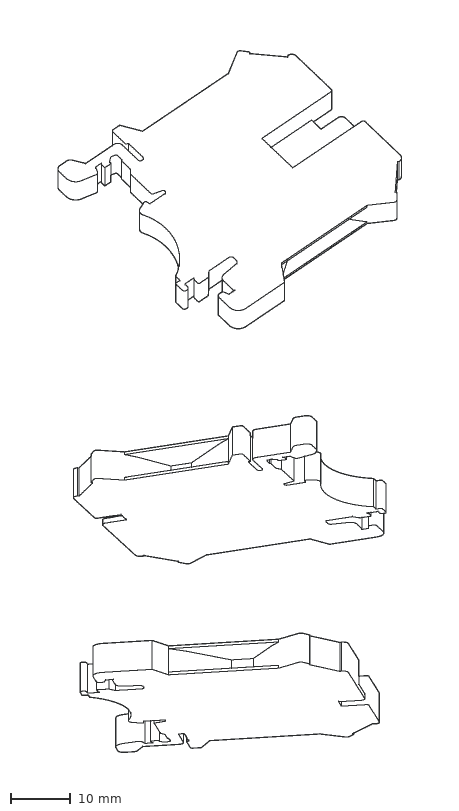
import cadquery as cq
import math

THICKNESS = 5.1
HEIGHT = 46.0
HALF_WIDTH = 21.4
BODY_HALF_WIDTH = 18.0
WAIST_TOP = 35.0
WAIST_BOTTOM = 16.3
SHOULDER_Y = 14.15

HEAD_HALF_WIDTH = 14.45
HEAD_RADIUS = 0.9
EAR_HALF_WIDTH = 20.65
EAR_Y = 39.3
EAR_RADIUS = 0.6
SEAT_TOP = (14.25, 44.75)
SEAT_BOTTOM = (18.85, 40.4)
SEAT_LIP = 0.25

RECESS_HALF_WIDTH = 4.0
RECESS_BOTTOM = 30.55
RECESS_FLOOR = 0.87
NOTCH_WIDTH = 2.45
NOTCH_BOTTOM = 41.4
NOTCH_RADIUS = 0.87
RECESS_EDGE_RADIUS = 0.35

ENTRY_WALL = 0.5
ENTRY_DEPTH = 6.65
ENTRY_STRAIGHT_DEPTH = 1.85
ENTRY_INNER_Y = (25.65, 29.4)
ENTRY_INNER_Z = (1.5, 4.2)

SHARP = 0
FINE_RADIUS = 0.2
SMALL_RADIUS = 0.3
ROUND_RADIUS = 0.5
WIDE_RADIUS = 1.0

RAIL_HALF_WIDTH = 17.3
RAIL_GROOVE_BOTTOM = 5.45
RAIL_GROOVE_TOP = 6.55
RELIEF = 0.25

HOOK_BOTTOM = 3.73
HOOK_TIP_X = 16.2
HOOK_TIP_DROP = 0.45
HOOK_RADIUS = 2.0

RIGHT_SLIT_X = 11.45
RIGHT_SLIT_WIDTH = 1.75
RIGHT_SLIT_TOP = 10.9
RIGHT_SLIT_FLARE = 0.5
LEFT_SLIT_X = -5.6
LEFT_SLIT_WIDTH = 0.7
LEFT_SLIT_TOP = 11.1
LEFT_SLIT_FLARE = 0.6

CATCH_X = 12.4
CATCH_BOTTOM = 2.95
CATCH_TOP = 5.05
CATCH_SLOPE = 0.9
TAIL_NECK_X = 10.95
TAIL_LEFT = 9.85
TAIL_RIGHT = 12.15
TAIL_TOP = 1.15

ARCH_RADIUS = 9.9
ARCH_TOP = 6.2
ARCH_START_X = -4.4
ARCH_END_X = 8.7
HORN_TIP = (-5.5, 4.55)
HORN_X = -6.45
HORN_TOP = 7.25
HORN_HEEL_RISE = 0.2
HORN_NOSE = 0.45

BODY_BOTTOM = 8.95
BODY_RAMP_X = (-12.45, -13.25)
LATCH_ROOF_Y = 9.8
LATCH_ROOF_STEP = 0.2
LATCH_ROOF_STEP_X = (-15.55, -15.65)
LATCH_POCKET_TOP_X = -17.0
LATCH_POCKET_SIDE = (-17.3, 8.75)
LATCH_TOOTH_X = -16.2
LATCH_TOOTH_TOP = 7.95
LATCH_TOOTH_FLAT = 0.45
LATCH_ARM_X = -18.95
LATCH_GAP_TOP = 12.85
LATCH_GAP_BOTTOM = 11.8
LATCH_GAP_END = -13.4
LATCH_GAP_END_RADIUS = 0.45
LATCH_GAP_STEP = 0.45
LATCH_GAP_STEP_X = (-17.53, -17.7)
LATCH_TIP_RADIUS = 0.35
FOOT_ARM_Y = 4.7
FOOT_SHOULDER_Y = 3.15
FOOT_BOTTOM = 0.2
FOOT_HEEL_RADIUS = 0.9
FOOT_TOE_X = -17.0
FOOT_TOE_RADIUS = 2.1
FOOT_NOSE = (-15.9, 4.9)


def arch_y(x):
    """Height of the arch at x."""
    return ARCH_TOP - ARCH_RADIUS + math.sqrt(ARCH_RADIUS**2 - x**2)


def mirrored(corners):
    """Corners reflected in the YZ plane, listed in reverse to keep the loop direction."""
    return [(-x, y, radius) for x, y, radius in reversed(corners)]


def rounded_prism(corners, height):
    """Extrude a closed loop of (x, y, corner radius), replacing each rounded corner by a tangent arc."""
    points = [cq.Vector(x, y, 0) for x, y, _ in corners]
    trims = []
    for i, (_, _, radius) in enumerate(corners):
        here = points[i]
        back = (points[i - 1] - here).normalized()
        ahead = (points[(i + 1) % len(points)] - here).normalized()
        half_angle = back.getAngle(ahead) / 2
        setback = radius / math.tan(half_angle)
        bisector = (back + ahead).normalized()
        middle = here + bisector * (radius / math.sin(half_angle) - radius)
        trims.append((here + back * setback, middle, here + ahead * setback, radius))
    outline = cq.Workplane("XY").moveTo(*trims[0][2].toTuple()[:2])
    for start, middle, end, radius in trims[1:] + trims[:1]:
        outline = outline.lineTo(start.x, start.y)
        if radius > 0:
            outline = outline.threePointArc((middle.x, middle.y), (end.x, end.y))
    return outline.close().extrude(height)


def right_head():
    """Right half of the head and flank, from the top edge down to the shoulder."""
    seat_top_x, seat_top_y = SEAT_TOP
    seat_bottom_x, seat_bottom_y = SEAT_BOTTOM
    return [
        (HEAD_HALF_WIDTH, HEIGHT, HEAD_RADIUS),
        (HEAD_HALF_WIDTH, seat_top_y + SEAT_LIP, SHARP),
        (seat_top_x, seat_top_y, SHARP),
        (seat_bottom_x, seat_bottom_y, SHARP),
        (seat_bottom_x + SEAT_LIP, seat_bottom_y + SEAT_LIP, FINE_RADIUS),
        (EAR_HALF_WIDTH, EAR_Y, EAR_RADIUS),
        (BODY_HALF_WIDTH, WAIST_TOP, SHARP),
        (BODY_HALF_WIDTH, WAIST_BOTTOM, SHARP),
        (HALF_WIDTH, SHOULDER_Y, SHARP),
    ]


def right_hook():
    """Fixed hook and the slit beside it, from the outer flank inwards."""
    slit_right = RIGHT_SLIT_X + RIGHT_SLIT_WIDTH
    return [
        (HALF_WIDTH, HOOK_BOTTOM, HOOK_RADIUS),
        (HOOK_TIP_X, HOOK_BOTTOM, ROUND_RADIUS),
        (HOOK_TIP_X, RAIL_GROOVE_BOTTOM - HOOK_TIP_DROP, SMALL_RADIUS),
        (RAIL_HALF_WIDTH, RAIL_GROOVE_BOTTOM, SHARP),
        (RAIL_HALF_WIDTH, RAIL_GROOVE_TOP + RELIEF, SHARP),
        (RAIL_HALF_WIDTH - RELIEF, RAIL_GROOVE_TOP, SHARP),
        (slit_right + RIGHT_SLIT_FLARE, RAIL_GROOVE_TOP, WIDE_RADIUS),
        (slit_right, RIGHT_SLIT_TOP, ROUND_RADIUS),
        (RIGHT_SLIT_X, RIGHT_SLIT_TOP, ROUND_RADIUS),
    ]


def catch_and_tail():
    """Catch and small hook between the right slit and the arch."""
    return [
        (RIGHT_SLIT_X, CATCH_TOP + CATCH_SLOPE, SHARP),
        (CATCH_X, CATCH_TOP, SHARP),
        (CATCH_X, CATCH_BOTTOM, FINE_RADIUS),
        (TAIL_NECK_X + RELIEF, CATCH_BOTTOM, SHARP),
        (TAIL_NECK_X, CATCH_BOTTOM + RELIEF, SHARP),
        (TAIL_NECK_X, TAIL_TOP, SHARP),
        (TAIL_RIGHT, TAIL_TOP, ROUND_RADIUS),
        (TAIL_RIGHT, 0, ROUND_RADIUS),
        (TAIL_LEFT, 0, FINE_RADIUS),
        (TAIL_LEFT, arch_y(ARCH_END_X), SHARP),
        (ARCH_END_X, arch_y(ARCH_END_X), SHARP),
    ]


def horn():
    """Rounded horn at the left end of the arch and the slit above it."""
    slit_left = LEFT_SLIT_X - LEFT_SLIT_WIDTH
    return [
        (ARCH_START_X, arch_y(ARCH_START_X), SHARP),
        (*HORN_TIP, WIDE_RADIUS),
        (HORN_X, HORN_TOP - HORN_NOSE, FINE_RADIUS),
        (HORN_X, HORN_TOP, FINE_RADIUS),
        (LEFT_SLIT_X, HORN_TOP + HORN_HEEL_RISE, SHARP),
        (LEFT_SLIT_X, LEFT_SLIT_TOP, SMALL_RADIUS),
        (slit_left, LEFT_SLIT_TOP, SMALL_RADIUS),
        (slit_left - LEFT_SLIT_FLARE, BODY_BOTTOM, FINE_RADIUS),
    ]


def latch():
    """Flexible latch arm with its foot, ending at the left shoulder."""
    ramp_bottom_x, ramp_top_x = BODY_RAMP_X
    roof_step_low_x, roof_step_high_x = LATCH_ROOF_STEP_X
    gap_step_high_x, gap_step_low_x = LATCH_GAP_STEP_X
    lower_roof_y = LATCH_ROOF_Y - LATCH_ROOF_STEP
    gap_mouth_y = LATCH_GAP_TOP - LATCH_GAP_STEP
    return [
        (ramp_bottom_x, BODY_BOTTOM, SHARP),
        (ramp_top_x, lower_roof_y, SMALL_RADIUS),
        (roof_step_low_x, lower_roof_y, SHARP),
        (roof_step_high_x, LATCH_ROOF_Y, SHARP),
        (LATCH_POCKET_TOP_X, LATCH_ROOF_Y, SMALL_RADIUS),
        (*LATCH_POCKET_SIDE, ROUND_RADIUS),
        (LATCH_TOOTH_X - LATCH_TOOTH_FLAT, LATCH_TOOTH_TOP, SHARP),
        (LATCH_TOOTH_X, LATCH_TOOTH_TOP, FINE_RADIUS),
        (LATCH_TOOTH_X, RAIL_GROOVE_TOP, SHARP),
        (-RAIL_HALF_WIDTH + RELIEF, RAIL_GROOVE_TOP, SHARP),
        (-RAIL_HALF_WIDTH, RAIL_GROOVE_TOP + RELIEF, SHARP),
        (-RAIL_HALF_WIDTH, RAIL_GROOVE_BOTTOM, SHARP),
        (*FOOT_NOSE, ROUND_RADIUS),
        (FOOT_TOE_X, FOOT_BOTTOM, FOOT_TOE_RADIUS),
        (-HALF_WIDTH, FOOT_BOTTOM, FOOT_HEEL_RADIUS),
        (-HALF_WIDTH, FOOT_SHOULDER_Y, WIDE_RADIUS),
        (LATCH_ARM_X, FOOT_ARM_Y, SHARP),
        (LATCH_ARM_X, LATCH_GAP_BOTTOM, WIDE_RADIUS),
        (LATCH_GAP_END, LATCH_GAP_BOTTOM, LATCH_GAP_END_RADIUS),
        (LATCH_GAP_END, LATCH_GAP_TOP, LATCH_GAP_END_RADIUS),
        (gap_step_high_x, LATCH_GAP_TOP, SHARP),
        (gap_step_low_x, gap_mouth_y, FINE_RADIUS),
        (-HALF_WIDTH, gap_mouth_y, LATCH_TIP_RADIUS),
    ]


def plate():
    head = right_head()
    outline = head + right_hook() + catch_and_tail() + horn() + latch() + mirrored(head)
    arch = cq.Workplane("XY").center(0, ARCH_TOP - ARCH_RADIUS).circle(ARCH_RADIUS).extrude(THICKNESS)
    return rounded_prism(outline, THICKNESS).cut(arch)


def top_edge_cutter(left, right, bottom, floor):
    """Box open at the head end, from the given floor up through the upper face."""
    return (
        cq.Workplane("XY", origin=(left, bottom, floor))
        .box(right - left, HEIGHT - bottom, THICKNESS - floor, centered=False)
    )


def wire_entry():
    """Cutter for the funnel in the left flank."""
    inner_x = -BODY_HALF_WIDTH + ENTRY_DEPTH
    break_x = -BODY_HALF_WIDTH + ENTRY_STRAIGHT_DEPTH
    inner_bottom, inner_top = ENTRY_INNER_Y
    inner_floor, inner_roof = ENTRY_INNER_Z
    outer_floor = ENTRY_WALL
    outer_roof = THICKNESS - ENTRY_WALL
    plan = (
        cq.Workplane("XY")
        .polyline([
            (-BODY_HALF_WIDTH, WAIST_BOTTOM),
            (inner_x, inner_bottom),
            (inner_x, inner_top),
            (-BODY_HALF_WIDTH, WAIST_TOP),
        ])
        .close()
        .extrude(THICKNESS)
    )
    section = (
        cq.Workplane("XZ")
        .polyline([
            (-BODY_HALF_WIDTH, outer_floor),
            (break_x, outer_floor),
            (inner_x, inner_floor),
            (inner_x, inner_roof),
            (break_x, outer_roof),
            (-BODY_HALF_WIDTH, outer_roof),
        ])
        .close()
        .extrude(-HEIGHT)
    )
    return plan.intersect(section)


def round_top_corner(body, x, radius):
    """Round the upright edge where the top edge of the outline meets the plane at x."""
    tolerance = 0.005
    corner = cq.selectors.BoxSelector(
        (x - tolerance, HEIGHT - tolerance, 0),
        (x + tolerance, HEIGHT + tolerance, THICKNESS),
    )
    return body.edges("|Z").edges(corner).fillet(radius)


notch_right = -RECESS_HALF_WIDTH + NOTCH_WIDTH
recess = top_edge_cutter(-RECESS_HALF_WIDTH, RECESS_HALF_WIDTH, RECESS_BOTTOM, RECESS_FLOOR)
floor_notch = top_edge_cutter(-RECESS_HALF_WIDTH, notch_right, NOTCH_BOTTOM, 0)
left_entry = wire_entry()
right_entry = left_entry.mirror("YZ")

result = plate().cut(recess).cut(floor_notch)
result = round_top_corner(result, -RECESS_HALF_WIDTH, RECESS_EDGE_RADIUS)
result = round_top_corner(result, RECESS_HALF_WIDTH, RECESS_EDGE_RADIUS)
result = round_top_corner(result, notch_right, NOTCH_RADIUS)
result = result.cut(left_entry).cut(right_entry)